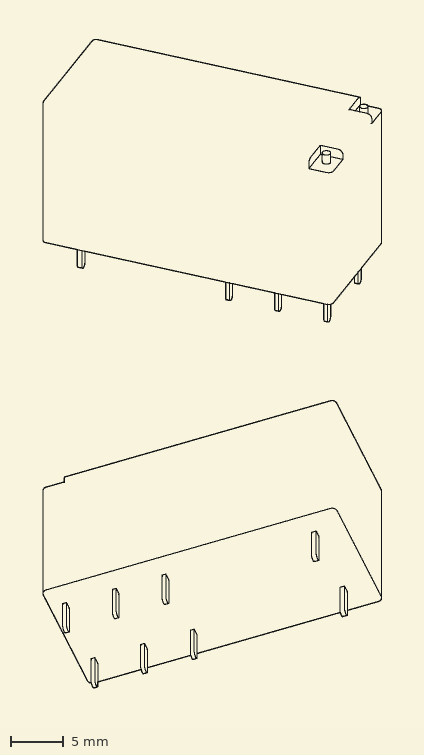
import cadquery as cq

case_length = 29.9
case_width = 12.7
case_height = 15.7
edge_radius = 0.5

notch_length = 2.33
notch_width = 2.8
notch_depth = 1.02
post_diameter = 0.8
post_end_offset = 1.25
post_side_offset = 1.75

pin_length = 3.6
pin_width = 0.8
row_spacing = 7.5
coil_pin_thickness = 0.48
contact_pin_thickness = 0.4
coil_pin_x = 3.02
coil_to_contact = 15.25
first_contact_x = coil_pin_x + coil_to_contact
contact_pitch = 5.05
contact_count = 3

SIDES = (-1, 1)


def make_case():
    """Box with rounded vertical and top edges and a sharp bottom outline."""
    box = cq.Workplane("XY").box(case_length, case_width, case_height, centered=(False, True, False))
    return box.edges("|Z or >Z").fillet(edge_radius)


def make_notch(side):
    """Block to remove from the top right corner on one side."""
    return (
        cq.Workplane("XY")
        .box(notch_length, notch_width, notch_depth)
        .translate((
            case_length - notch_length / 2,
            side * (case_width - notch_width) / 2,
            case_height - notch_depth / 2,
        ))
    )


def make_post(side):
    """Round post rising from the notch floor to the level of the top face."""
    return (
        cq.Workplane("XY", origin=(0, 0, case_height - notch_depth))
        .center(case_length - post_end_offset, side * (case_width / 2 - post_side_offset))
        .circle(post_diameter / 2)
        .extrude(notch_depth)
    )


def make_pin(x, side, thickness):
    """Flat pin below the case, with a half-round tip across its width."""
    half_width = pin_width / 2
    return (
        cq.Workplane("YZ", origin=(x, side * row_spacing / 2, 0))
        .moveTo(-half_width, 0)
        .lineTo(-half_width, half_width - pin_length)
        .threePointArc((0, -pin_length), (half_width, half_width - pin_length))
        .lineTo(half_width, 0)
        .close()
        .extrude(thickness / 2, both=True)
    )


result = make_case()
for side in SIDES:
    result = result.cut(make_notch(side)).union(make_post(side))
    result = result.union(make_pin(coil_pin_x, side, coil_pin_thickness))
    for index in range(contact_count):
        contact_x = first_contact_x + index * contact_pitch
        result = result.union(make_pin(contact_x, side, contact_pin_thickness))